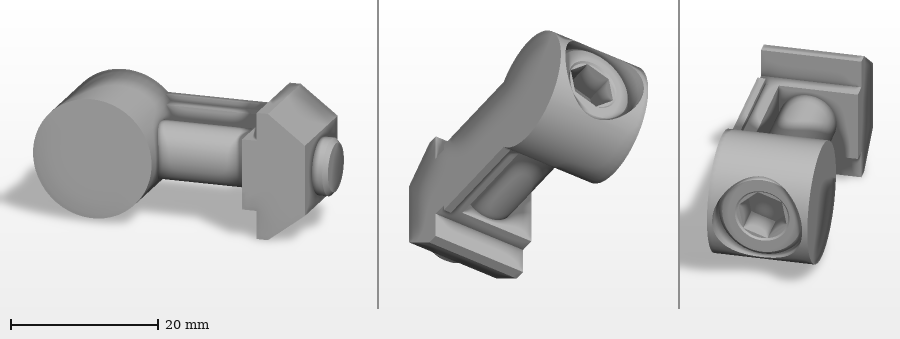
import cadquery as cq

width = 14.0
barrel_radius = 8.5

shank_radius = 4.0
shank_end = 32.5
tip_chamfer = 0.6
head_radius = 6.2
head_length = 8.0
head_seat = 2.5
head_chamfer = 0.6
counterbore_radius = 6.27

hex_circle = 7.15
hex_depth = 5.0
hex_turn = 19
socket_mouth_radius = 3.8
socket_chamfer = 0.25

neck_start = 21.45
neck_half_height = 5.0
shoulder_start = 23.55
taper_start = 25.15
nut_end = 30.42
nut_half_height = 9.0

flange_half_height = 5.85
flange_inner_y = 5.85
guide_inner_y = shank_radius

half_width = width / 2
head_front = head_seat - head_length


def x_cylinder(radius, start, end):
    """Cylinder along the screw axis."""
    return cq.Workplane("YZ", origin=(start, 0, 0)).circle(radius).extrude(end - start)


def guide_bar(inner_y, half_height):
    """Bar from inside the barrel wall to the nut, flush with the +Y end of the barrel."""
    return (
        cq.Workplane("XY", origin=(head_seat, inner_y, 0))
        .box(neck_start - head_seat, half_width - inner_y, 2 * half_height, centered=(False, False, True))
    )


def make_barrel():
    """Cross barrel with its counterbored screw hole and stepped guide arm."""
    body = cq.Workplane("XZ", origin=(0, half_width, 0)).circle(barrel_radius).extrude(width)
    body = body.cut(x_cylinder(counterbore_radius, -2 * barrel_radius, head_seat))
    body = body.cut(x_cylinder(shank_radius, 0, 2 * barrel_radius))
    body = body.union(guide_bar(flange_inner_y, flange_half_height))
    return body.union(guide_bar(guide_inner_y, neck_half_height))


def make_screw():
    """Socket head screw with a chamfered head, tip and hexagon mouth."""
    head = x_cylinder(head_radius, head_front, head_seat).faces("<X").chamfer(head_chamfer)
    shank = x_cylinder(shank_radius, head_seat, shank_end).faces(">X").chamfer(tip_chamfer)
    socket = (
        cq.Workplane("YZ", origin=(head_front, 0, 0))
        .transformed(rotate=(0, 0, hex_turn))
        .polygon(6, hex_circle)
        .extrude(hex_depth)
    )
    mouth = (
        cq.Workplane("YZ", origin=(head_front, 0, 0))
        .circle(socket_mouth_radius)
        .workplane(offset=socket_chamfer)
        .circle(socket_mouth_radius - socket_chamfer)
        .loft(ruled=True)
    )
    return head.union(shank).cut(socket).cut(mouth)


def make_nut():
    """T-slot nut: narrow neck, square shoulders and a tapered back."""
    upper = [
        (neck_start, neck_half_height),
        (shoulder_start, neck_half_height),
        (shoulder_start, nut_half_height),
        (taper_start, nut_half_height),
        (nut_end, neck_half_height),
    ]
    lower = [(x, -z) for x, z in reversed(upper)]
    body = (
        cq.Workplane("XZ", origin=(0, half_width, 0))
        .polyline(upper + lower)
        .close()
        .extrude(width)
    )
    return body.cut(x_cylinder(shank_radius, neck_start, nut_end))


barrel = make_barrel()
screw = make_screw()
nut = make_nut()

result = cq.Compound.makeCompound([barrel.val(), screw.val(), nut.val()])